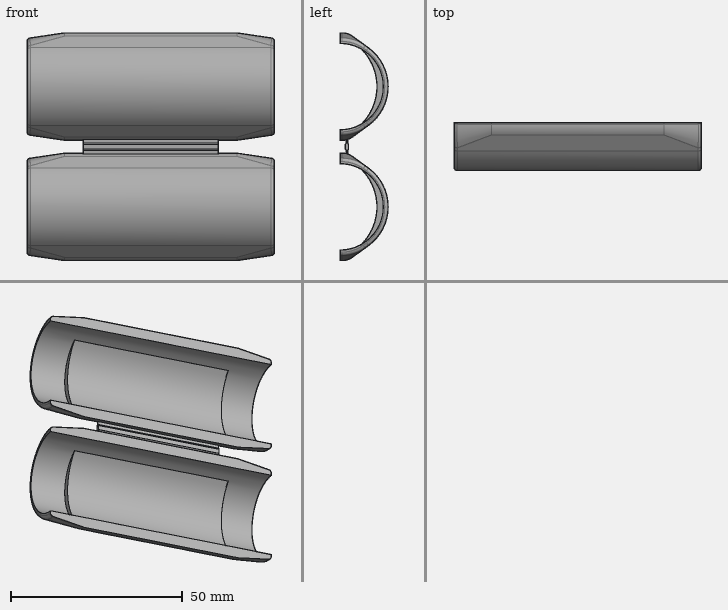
import cadquery as cq
import math

length = 72.0
overall_height = 66.3
pitch = 35.0

outer_radius = 14.0
inner_radius = 12.5
flat_angle = math.radians(36)
end_fillet = 1.0

middle_half_height = (overall_height - pitch) / 2
middle_level_width = 0.6
middle_half_length = 25.05
end_half_height = 14.05
end_level_width = 0.4

pad_depth = 10.65
pad_radius = 15.5
pad_half_length = middle_half_length

hinge_length = 39.3
hinge_y = -1.95
web_thickness = 0.5
web_overlap = 0.6
bead_thickness = 1.0
bead_half_height = 1.1
bead_face_half_height = 0.65


def outer_section(x, half_height, level_width):
    """Outer outline of a shell at x: level edges, tangent arcs, flats and a round back."""
    sin_a = math.sin(flat_angle)
    cos_a = math.cos(flat_angle)
    gap = outer_radius - level_width * sin_a - half_height * cos_a
    blend_radius = gap / (1 - cos_a)
    blend_center_z = half_height - blend_radius

    def blend_point(angle):
        y = -level_width - blend_radius * math.sin(angle)
        return y, blend_center_z + blend_radius * math.cos(angle)

    blend_middle = blend_point(flat_angle / 2)
    blend_end = blend_point(flat_angle)
    back_start = (-outer_radius * sin_a, outer_radius * cos_a)

    def mirrored(point):
        return point[0], -point[1]

    return (
        cq.Workplane("YZ", origin=(x, 0, 0))
        .moveTo(0, half_height)
        .lineTo(-level_width, half_height)
        .threePointArc(blend_middle, blend_end)
        .lineTo(*back_start)
        .threePointArc((-outer_radius, 0), mirrored(back_start))
        .lineTo(*mirrored(blend_end))
        .threePointArc(mirrored(blend_middle), (-level_width, -half_height))
        .lineTo(0, -half_height)
        .close()
    )


def middle_section(side):
    """Outer outline at one end of the straight middle (side is -1 or 1)."""
    return outer_section(side * middle_half_length, middle_half_height, middle_level_width)


def tapered_end(side):
    """Stretch between the straight middle and one end (side is -1 or 1)."""
    end_section = outer_section(side * length / 2, end_half_height, end_level_width)
    wires = [middle_section(side).val(), end_section.val()]
    return cq.Workplane(cq.Solid.makeLoft(wires, True))


def cylinder_along_x(radius, axis_y):
    """Cylinder reaching well past both ends of a shell."""
    return cq.Workplane("YZ").center(axis_y, 0).circle(radius).extrude(length, both=True)


def outer_body():
    """Solid envelope of one shell, rounded at both ends except along the open side."""
    middle = middle_section(-1).extrude(2 * middle_half_length)
    body = middle.union(tapered_end(-1)).union(tapered_end(1)).clean()
    return body.faces("<X or >X").edges("not >Y").fillet(end_fillet)


def shell():
    """One hollow shell with the crescent pad left standing inside it."""
    bore = cylinder_along_x(inner_radius, 0)
    pad_hollow = cylinder_along_x(pad_radius, pad_radius - pad_depth)
    pad_stretch = cq.Workplane("XY").box(2 * pad_half_length, 4 * outer_radius, 4 * outer_radius)
    pad = pad_stretch.cut(pad_hollow)
    return outer_body().cut(bore.cut(pad))


def hinge():
    """Thin web between the shells with a bead of six-sided section along its middle."""
    web_height = pitch - 2 * (middle_half_height - web_overlap)
    web = cq.Workplane("XY").box(hinge_length, web_thickness, web_height)
    half_web = web_thickness / 2
    half_bead = bead_thickness / 2
    bead = (
        cq.Workplane("YZ")
        .polyline(
            [
                (half_web, bead_half_height),
                (half_bead, bead_face_half_height),
                (half_bead, -bead_face_half_height),
                (half_web, -bead_half_height),
                (-half_web, -bead_half_height),
                (-half_bead, -bead_face_half_height),
                (-half_bead, bead_face_half_height),
                (-half_web, bead_half_height),
            ]
        )
        .close()
        .extrude(hinge_length / 2, both=True)
    )
    return web.union(bead).translate((0, hinge_y, 0))


result = hinge()
for shell_z in (-pitch / 2, pitch / 2):
    result = result.union(shell().translate((0, 0, shell_z)))